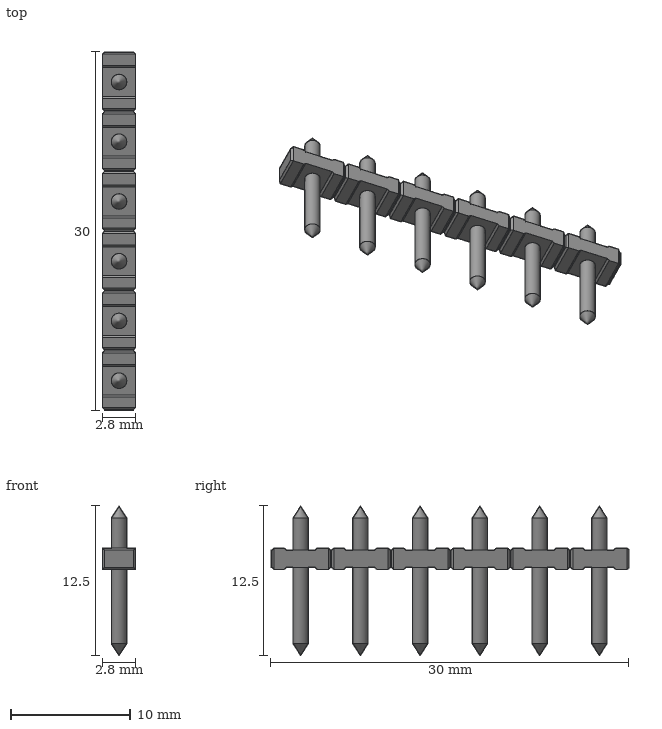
import cadquery as cq

pin_count = 6
pitch = 5.0
housing_width = 2.8
housing_height = 1.8

neck_length = 0.1
chamfer = 0.175
block_length = pitch - neck_length

recess_floor_length = 2.4
recess_depth = 0.175
recess_opening_length = recess_floor_length + 2 * recess_depth

pin_diameter = 1.3
pin_length = 12.5
pin_above_housing = 3.5
point_length = 1.0

row_length = pin_count * pitch
pin_radius = pin_diameter / 2
pin_top = housing_height + pin_above_housing
pin_bottom = pin_top - pin_length


def make_neck():
    """Bar along the whole row, as small as the chamfered end faces; it shows between the blocks."""
    return cq.Workplane("XY").box(
        housing_width - 2 * chamfer,
        row_length,
        housing_height - 2 * chamfer,
    ).translate((0, 0, housing_height / 2))


def make_recess_cutter(pin_y, face_z, floor_z):
    """Trapezoidal prism across the full width, open at face_z and narrower at floor_z."""
    half_opening = recess_opening_length / 2
    half_floor = recess_floor_length / 2
    return (
        cq.Workplane("YZ")
        .moveTo(pin_y - half_opening, face_z)
        .lineTo(pin_y - half_floor, floor_z)
        .lineTo(pin_y + half_floor, floor_z)
        .lineTo(pin_y + half_opening, face_z)
        .close()
        .extrude(housing_width / 2, both=True)
    )


def make_block(pin_y):
    """Chamfered housing block with its two recesses; the neck is left free on its -Y side."""
    block_center_y = pin_y + neck_length / 2
    block = (
        cq.Workplane("XY")
        .box(housing_width, block_length, housing_height)
        .faces("<Y or >Y")
        .edges()
        .chamfer(chamfer)
        .translate((0, block_center_y, housing_height / 2))
    )
    top_recess = make_recess_cutter(pin_y, housing_height, housing_height - recess_depth)
    bottom_recess = make_recess_cutter(pin_y, 0, recess_depth)
    return block.cut(top_recess).cut(bottom_recess)


def make_pin(pin_y):
    """Round pin along Z, revolved from its half profile."""
    return (
        cq.Workplane("XZ")
        .moveTo(0, pin_bottom)
        .lineTo(pin_radius, pin_bottom + point_length)
        .lineTo(pin_radius, pin_top - point_length)
        .lineTo(0, pin_top)
        .close()
        .revolve(360, (0, 0, 0), (0, 1, 0))
        .translate((0, pin_y, 0))
    )


result = make_neck()
for index in range(pin_count):
    pin_y = (index + 0.5) * pitch - row_length / 2
    result = result.union(make_block(pin_y)).union(make_pin(pin_y))